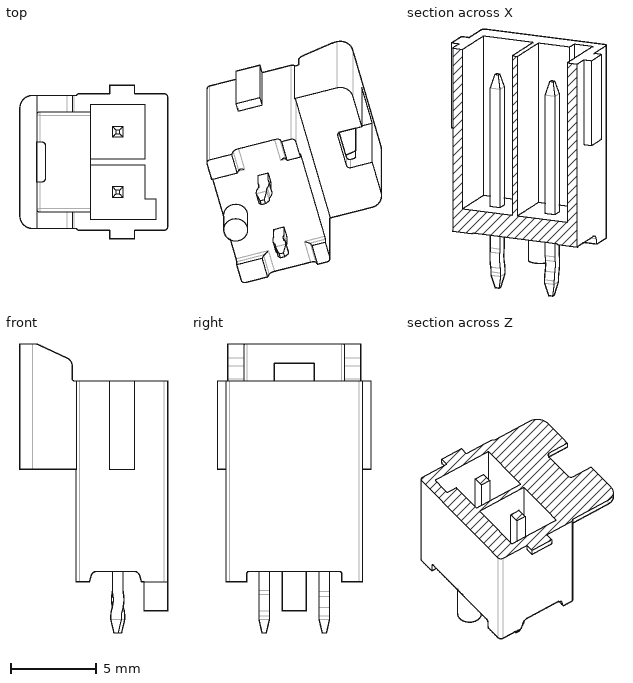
import cadquery as cq
import math

BODY_LENGTH = 5.39
BODY_WIDTH = 8.02
BODY_HEIGHT = 11.78
BODY_CORNER_RADIUS = 0.22

RIB_START = 1.98
RIB_LENGTH = 1.45
OVERALL_WIDTH = 9.0
RIB_BOTTOM = 6.6

HOOD_REACH = 3.29
HOOD_WIDTH = 7.81
HOOD_TOP = 13.95
HOOD_CORNER_RADIUS = 0.76
HOOD_WALL = 1.0
HOOD_SLOPE_ANGLE = 25
HOOD_SHOULDER_GAP = 0.2
HOOD_SHOULDER_RADIUS = 0.53
HOOD_FOOT_RADIUS = 0.1

POCKET_WIDTH = 5.86
POCKET_FLOOR = 7.92
POCKET_CORNER_RADIUS = 0.15
POCKET_FLOOR_RADIUS = 0.2

SLOT_WIDTH = 2.32
SLOT_TOP = 12.8
SLOT_FLOOR_REACH = 0.51
SLOT_CORNER_RADIUS = 0.2

CAVITY_SIZE = 3.19
CAVITY_START = 0.86
CAVITY_FLOOR = 2.03
DIVIDER = 0.34
KEY_DEPTH = 0.66
KEY_WIDTH = 1.19

FOOT_HEIGHT = 0.61
CROSS_CENTRE = 2.32
CROSS_WIDTH = 3.03
CROSS_WALL_ANGLE = 75
CROSS_TOP_RADIUS = 0.34
LONG_WIDTH = 5.56
LONG_TOP_RADIUS = 0.14

PEG_DIAMETER = 1.4
PEG_BOTTOM = -1.7

PIN_SIZE = 0.63
PIN_TOP = 10.07
PIN_TOP_TAPER = 0.8
PIN_TOP_END = 0.22
PIN_BOTTOM = -3.0
PIN_TAPER_START = -2.2
PIN_BOTTOM_END = 0.25
KINK_START = -0.53
KINK_TILT = 8.5
KINK_TILT_LENGTH = 0.27
KINK_RETURN = 19.0
BULGE_RADIUS = 1.68
RETURN_RADIUS = 1.25

CAVITY_PITCH = CAVITY_SIZE + DIVIDER
PIN_X = CAVITY_START + CAVITY_SIZE / 2
BOTH_SIDES = (1, -1)


def block(x0, x1, width, z0, z1, y=0):
    """Box from x0 to x1 and z0 to z1 whose width is centred on y."""
    solid = cq.Workplane("XY").box(x1 - x0, width, z1 - z0, centered=(False, True, False))
    return solid.translate((x0, y, z0))


def housing():
    body = block(0, BODY_LENGTH, BODY_WIDTH, 0, BODY_HEIGHT)
    body = body.edges("|Z").fillet(BODY_CORNER_RADIUS)
    return body.union(block(RIB_START, RIB_START + RIB_LENGTH, OVERALL_WIDTH, RIB_BOTTOM, BODY_HEIGHT))


def hood():
    """Latch hood whose side shoulders slope down to the top of the housing."""
    slope_start = HOOD_WALL - HOOD_REACH
    slope_run = -HOOD_SHOULDER_GAP - slope_start
    shoulder_z = HOOD_TOP - slope_run * math.tan(math.radians(HOOD_SLOPE_ANGLE))
    solid = (
        cq.Workplane("XZ")
        .moveTo(-HOOD_REACH, RIB_BOTTOM)
        .lineTo(-HOOD_REACH, HOOD_TOP)
        .lineTo(slope_start, HOOD_TOP)
        .lineTo(-HOOD_SHOULDER_GAP, shoulder_z)
        .lineTo(-HOOD_SHOULDER_GAP, BODY_HEIGHT)
        .lineTo(CAVITY_START, BODY_HEIGHT)
        .lineTo(CAVITY_START, RIB_BOTTOM)
        .close()
        .extrude(HOOD_WIDTH / 2, both=True)
    )
    nearest = cq.selectors.NearestToPointSelector
    solid = solid.edges("|Z and <X").fillet(HOOD_CORNER_RADIUS)
    solid = solid.edges(nearest((-HOOD_SHOULDER_GAP, 0, shoulder_z))).fillet(HOOD_SHOULDER_RADIUS)
    return solid.edges(nearest((-HOOD_SHOULDER_GAP, 0, BODY_HEIGHT))).fillet(HOOD_FOOT_RADIUS)


def latch_pocket():
    pocket = block(HOOD_WALL - HOOD_REACH, CAVITY_START, POCKET_WIDTH, POCKET_FLOOR, HOOD_TOP)
    pocket = pocket.edges("|Z and <X").fillet(POCKET_CORNER_RADIUS)
    floor_edges = pocket.faces("<Z").edges().edges("not >X")
    return floor_edges.fillet(POCKET_FLOOR_RADIUS)


def latch_slot():
    slot_end = HOOD_WALL - HOOD_REACH + SLOT_FLOOR_REACH
    slot = block(-HOOD_REACH, slot_end, SLOT_WIDTH, RIB_BOTTOM, SLOT_TOP)
    return slot.edges("|Z and >X").fillet(SLOT_CORNER_RADIUS)


def cavities():
    cavity_end = CAVITY_START + CAVITY_SIZE
    key_y = KEY_WIDTH / 2 - CAVITY_SIZE - DIVIDER / 2
    space = block(CAVITY_START, cavity_end + KEY_DEPTH, KEY_WIDTH, CAVITY_FLOOR, BODY_HEIGHT, key_y)
    for side in BOTH_SIDES:
        y = side * CAVITY_PITCH / 2
        space = space.union(block(CAVITY_START, cavity_end, CAVITY_SIZE, CAVITY_FLOOR, BODY_HEIGHT, y))
    return space


def foot_recess():
    """Two crossing channels that leave a foot at each corner."""
    half_bottom = CROSS_WIDTH / 2
    half_top = half_bottom - FOOT_HEIGHT / math.tan(math.radians(CROSS_WALL_ANGLE))
    cross = (
        cq.Workplane("XZ")
        .moveTo(-half_bottom, 0)
        .lineTo(-half_top, FOOT_HEIGHT)
        .lineTo(half_top, FOOT_HEIGHT)
        .lineTo(half_bottom, 0)
        .close()
        .extrude(BODY_WIDTH / 2, both=True)
        .edges("|Y and >Z")
        .fillet(CROSS_TOP_RADIUS)
        .translate((CROSS_CENTRE, 0, 0))
    )
    lengthwise = block(0, BODY_LENGTH, LONG_WIDTH, 0, FOOT_HEIGHT)
    lengthwise = lengthwise.edges("|X and >Z").fillet(LONG_TOP_RADIUS)
    return cross.union(lengthwise)


def peg():
    return (
        cq.Workplane("XY", origin=(BODY_LENGTH - PEG_DIAMETER / 2, 0, PEG_BOTTOM))
        .circle(PEG_DIAMETER / 2)
        .extrude(FOOT_HEIGHT - PEG_BOTTOM)
    )


def tapered_end(x, z, end_z, end_size):
    """Four-sided point from the full pin section at z to a smaller square at end_z."""
    return (
        cq.Workplane("XY", origin=(x, 0, z))
        .rect(PIN_SIZE, PIN_SIZE)
        .workplane(offset=end_z - z)
        .rect(end_size, end_size)
        .loft(ruled=True)
    )


def kinked_pin():
    """Pin centred on X = Y = 0 whose tail bulges to +X and then swings back past the axis to -X."""
    tilt = math.radians(KINK_TILT)
    back = math.radians(KINK_RETURN)
    mid = (back - tilt) / 2
    half = PIN_SIZE / 2

    tilt_end_x = KINK_TILT_LENGTH * math.sin(tilt)
    tilt_end_z = KINK_START - KINK_TILT_LENGTH * math.cos(tilt)
    bulge_x = tilt_end_x - BULGE_RADIUS * math.cos(tilt)
    bulge_z = tilt_end_z - BULGE_RADIUS * math.sin(tilt)
    return_x = bulge_x + (BULGE_RADIUS + RETURN_RADIUS) * math.cos(back)
    return_z = bulge_z - (BULGE_RADIUS + RETURN_RADIUS) * math.sin(back)
    tail_x = return_x - RETURN_RADIUS

    def bulge_point(angle, side):
        radius = BULGE_RADIUS + side * half
        return (bulge_x + radius * math.cos(angle), bulge_z - radius * math.sin(angle))

    def return_point(angle, side):
        radius = RETURN_RADIUS - side * half
        return (return_x - radius * math.cos(angle), return_z + radius * math.sin(angle))

    def bend_start(side):
        return (side * half, KINK_START + side * half * math.tan(tilt / 2))

    stem = (
        cq.Workplane("XZ")
        .moveTo(-half, PIN_TOP - PIN_TOP_TAPER)
        .lineTo(*bend_start(-1))
        .lineTo(*bulge_point(-tilt, -1))
        .threePointArc(bulge_point(mid, -1), bulge_point(back, -1))
        .threePointArc(return_point(back / 2, -1), return_point(0, -1))
        .lineTo(tail_x - half, PIN_TAPER_START)
        .lineTo(tail_x + half, PIN_TAPER_START)
        .lineTo(*return_point(0, 1))
        .threePointArc(return_point(back / 2, 1), bulge_point(back, 1))
        .threePointArc(bulge_point(mid, 1), bulge_point(-tilt, 1))
        .lineTo(*bend_start(1))
        .lineTo(half, PIN_TOP - PIN_TOP_TAPER)
        .close()
        .extrude(half, both=True)
    )
    top = tapered_end(0, PIN_TOP - PIN_TOP_TAPER, PIN_TOP, PIN_TOP_END)
    bottom = tapered_end(tail_x, PIN_TAPER_START, PIN_BOTTOM, PIN_BOTTOM_END)
    return stem.union(top).union(bottom)


result = housing().union(hood())
result = result.cut(latch_pocket()).cut(latch_slot()).cut(cavities()).cut(foot_recess())
result = result.union(peg())

front_pin = kinked_pin()
back_pin = front_pin.mirror("YZ")
result = result.union(front_pin.translate((PIN_X, -CAVITY_PITCH / 2, 0)))
result = result.union(back_pin.translate((PIN_X, CAVITY_PITCH / 2, 0)))